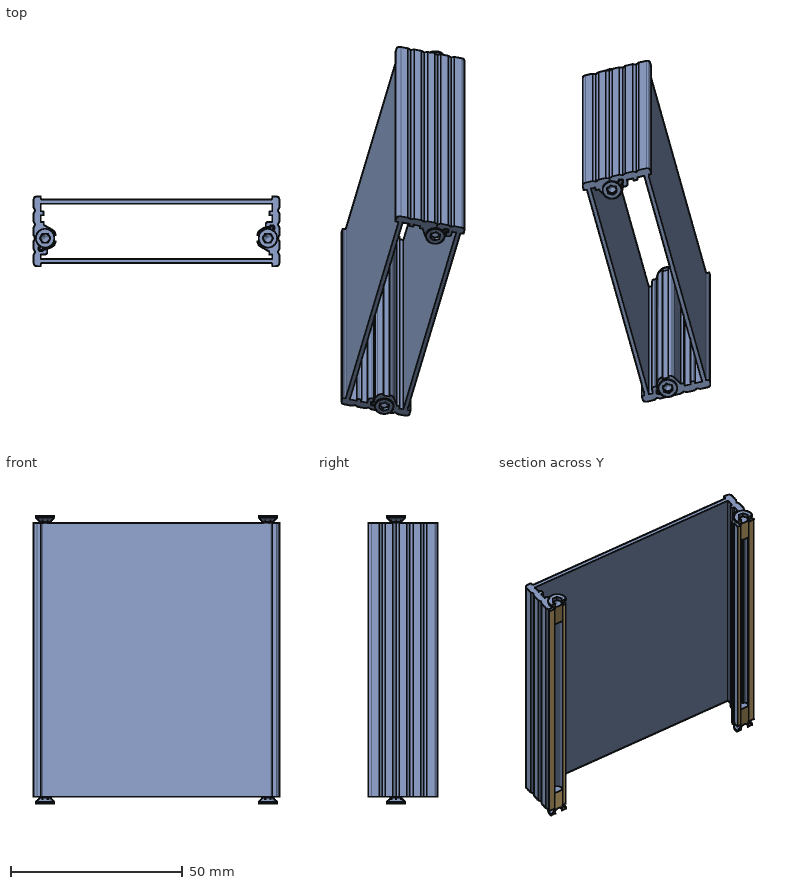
import cadquery as cq
import math

overall_length = 84.0
housing_width = 71.8
housing_height = 20.4
head_standoff = 2.0
housing_length = overall_length - 2 * head_standoff

side_wall = 2.2
panel_recess = 0.9
panel_thickness = 1.3
corner_radius = 1.0
recess_fillet = 0.3

groove_pitch = 4.0
groove_count = 4
groove_width = 1.85
groove_depth = 0.4

guide_rib_y = 5.3
guide_rib_height = 1.3
guide_rib_depth = 0.75
guide_rib_fillet = 0.3

screw_x = 32.5
screw_y = -groove_pitch / 2

head_diameter = 5.5
head_rim = 0.5
shank_diameter = 3.0
shank_length = 8.4
head_cone = (head_diameter - shank_diameter) / 2
socket_across_flats = 2.7
socket_depth = 1.3
socket_point_angle = 120.0

boss_apothem = 3.2
boss_slope = math.radians(30)
boss_reach = 3.1
boss_corner_radius = 2.2
ledge_half_span = 4.8
ledge_edge_x = -0.3
hook_edge_x = 0.7
hook_radius = 0.8
notch_width = 1.85
notch_bottom_x = 2.5
slot_width = 0.25
slot_y = -3.1
bead_x = -1.2
bead_y = -3.0
bead_radius = 0.5
wall_overlap = 0.4
wall_face_x = side_wall - housing_width / 2 + screw_x


def prism(outline):
    """Extrude a closed outline over the whole housing length."""
    return outline.extrude(housing_length)


def end_plane():
    return cq.Workplane("XY").workplane(offset=-housing_length / 2)


def box_over_length(x_min, x_max, y_min, y_max):
    outline = end_plane().center((x_min + x_max) / 2, (y_min + y_max) / 2)
    return prism(outline.rect(x_max - x_min, y_max - y_min))


def hollow_shell():
    """Tube with thick side walls and flat panels set below the side wall lips."""
    shell = prism(end_plane().rect(housing_width, housing_height)).edges("|Z").fillet(corner_radius)
    inner_half_width = housing_width / 2 - side_wall
    panel_outer_y = housing_height / 2 - panel_recess
    panel_inner_y = panel_outer_y - panel_thickness
    shell = shell.cut(box_over_length(-inner_half_width, inner_half_width, -panel_inner_y, panel_inner_y))
    for side in (-1, 1):
        y_near, y_far = sorted((side * panel_outer_y, side * housing_height))
        recess = box_over_length(-inner_half_width, inner_half_width, y_near, y_far)
        floor_edges = "|Z and <Y" if side > 0 else "|Z and >Y"
        shell = shell.cut(recess.edges(floor_edges).fillet(recess_fillet))
    return shell


def outer_groove(side, y):
    """V-groove along one outer side face; side is -1 or 1 along X."""
    face_x = side * housing_width / 2
    outline = [
        (face_x, y - groove_width / 2),
        (face_x - side * groove_depth, y),
        (face_x, y + groove_width / 2),
    ]
    return prism(end_plane().polyline(outline).close())


def guide_rib(side):
    """Rib that holds a board edge against the ledge of the screw boss."""
    wall_x = side * (housing_width / 2 - side_wall)
    x_min, x_max = sorted((wall_x + side * wall_overlap, wall_x - side * guide_rib_depth))
    rib = box_over_length(
        x_min, x_max, guide_rib_y - guide_rib_height / 2, guide_rib_y + guide_rib_height / 2
    )
    tip = "|Z and >X" if side < 0 else "|Z and <X"
    return rib.edges(tip).edges(">Y").fillet(guide_rib_fillet)


def sloped_face_y(x):
    """Height of the upper sloped boss face above the screw axis at x."""
    return (boss_apothem - x * math.sin(boss_slope)) / math.cos(boss_slope)


def screw_boss():
    """Boss on its wall, about the screw axis: the arm of one shell and the hook of the other below it."""
    root_x = wall_face_x - wall_overlap
    corner_y = sloped_face_y(boss_reach)
    outline = [
        (root_x, ledge_half_span),
        (ledge_edge_x, ledge_half_span),
        (ledge_edge_x, sloped_face_y(ledge_edge_x)),
        (boss_reach, corner_y),
        (boss_reach, -corner_y),
        (hook_edge_x, -sloped_face_y(hook_edge_x)),
        (root_x, -sloped_face_y(hook_edge_x)),
    ]
    arm = prism(end_plane().polyline(outline).close()).edges("|Z and >X").fillet(boss_corner_radius)
    hook = box_over_length(root_x, hook_edge_x, -ledge_half_span, slot_y)
    hook = hook.edges("|Z and >X").edges("<Y").fillet(hook_radius)
    notch = box_over_length(notch_bottom_x, 2 * boss_reach, -notch_width / 2, notch_width / 2)
    return arm.union(hook).cut(notch)


def boss_openings():
    """Bore for the screws and the slot between the beaded arm of one shell and the hook of the other."""
    bore = prism(end_plane().circle(shank_diameter / 2))
    slot_top_y = slot_y + slot_width / 2
    straight_leg = box_over_length(bead_x, boss_reach, slot_y - slot_width / 2, slot_top_y)
    bead = prism(end_plane().center(bead_x, bead_y).circle(bead_radius))
    bead_root = box_over_length(bead_x - bead_radius, boss_reach, slot_top_y, 0)
    bead_clearance = prism(end_plane().center(bead_x, bead_y).circle(bead_radius + slot_width))
    slot = straight_leg.union(bead_clearance).cut(bead).cut(bead_root)

    leg_end_x = bead_x - bead_radius - slot_width / 2
    leg_length = math.hypot(leg_end_x, bead_y)
    leg_angle = math.degrees(math.atan2(bead_y, leg_end_x))
    radial_leg = box_over_length(0, leg_length, -slot_width / 2, slot_width / 2)
    radial_leg = radial_leg.rotate((0, 0, 0), (0, 0, 1), leg_angle)
    return bore.union(slot).union(radial_leg)


def at_screw_axis(shape, side):
    """Place a left-hand shape at one screw axis; the right-hand one is turned half round."""
    if side > 0:
        shape = shape.rotate((0, 0, 0), (0, 0, 1), 180)
    return shape.translate((side * screw_x, screw_y, 0))


def wall_seam(side):
    """Flat face across a side wall, from the screw axis out through the bottom of a V-groove."""
    seam_width = housing_width / 2 - screw_x
    seam_plane = cq.Workplane("XZ", origin=(side * (screw_x + seam_width / 2), screw_y, 0))
    outline = seam_plane.rect(seam_width, housing_length).val()
    return cq.Face.makeFromWires(outline)


def make_shells():
    """Rear and front shells, which meet at the two wall seams and hook together at the bosses."""
    housing = hollow_shell()
    for side in (-1, 1):
        for index in range(groove_count):
            groove_y = (index - (groove_count - 1) / 2) * groove_pitch
            housing = housing.cut(outer_groove(side, groove_y))
        housing = housing.union(guide_rib(side))
        housing = housing.union(at_screw_axis(screw_boss(), side))
        housing = housing.cut(at_screw_axis(boss_openings(), side))
    halves = housing.val().split(wall_seam(-1), wall_seam(1)).Solids()
    front, rear = sorted(halves, key=lambda half: half.Center().y)
    return rear, front


def hex_socket(top_z):
    """Hexagonal recess with corners along X and a conical drill point at its bottom."""
    across_corners = socket_across_flats / math.cos(math.radians(30))
    floor_z = top_z - socket_depth
    drill_radius = socket_across_flats / 2
    point_depth = drill_radius / math.tan(math.radians(socket_point_angle / 2))
    hexagon = cq.Workplane("XY").workplane(offset=floor_z).polygon(6, across_corners).extrude(socket_depth)
    point_section = [(0, floor_z - point_depth), (drill_radius, floor_z), (0, floor_z)]
    drill_point = cq.Workplane("XZ").polyline(point_section).close().revolve(360, (0, 0, 0), (0, 1, 0))
    return hexagon.union(drill_point)


def make_screw():
    """Countersunk screw on the Z axis, with the top of its head at the upper end of the part."""
    top_z = overall_length / 2
    rim_z = top_z - head_rim
    cone_end_z = rim_z - head_cone
    half_section = [
        (0, top_z),
        (head_diameter / 2, top_z),
        (head_diameter / 2, rim_z),
        (shank_diameter / 2, cone_end_z),
        (shank_diameter / 2, top_z - shank_length),
        (0, top_z - shank_length),
    ]
    blank = cq.Workplane("XZ").polyline(half_section).close().revolve(360, (0, 0, 0), (0, 1, 0))
    return blank.cut(hex_socket(top_z))


def make_screws():
    """One screw in each end of both bores."""
    screws = []
    for side in (-1, 1):
        for flip_angle in (0, 180):
            screw = make_screw().rotate((0, 0, 0), (1, 0, 0), flip_angle)
            screws.append(screw.translate((side * screw_x, screw_y, 0)))
    return screws


rear_shell, front_shell = make_shells()
screws = make_screws()
result = cq.Compound.makeCompound([rear_shell, front_shell, *[screw.val() for screw in screws]])